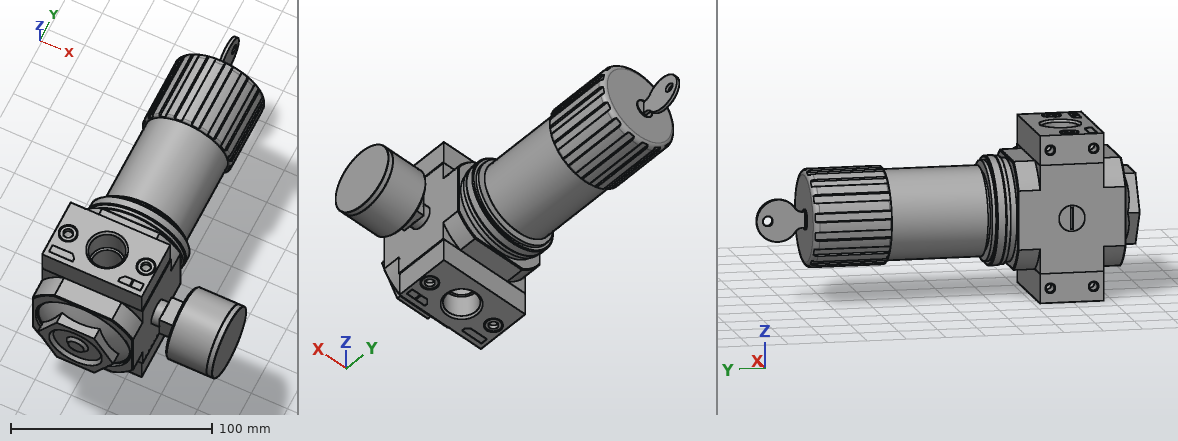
import cadquery as cq
import math


half_size = 27.5
left_face = -28.0
corner_radius = 31.75
edge_chamfer = 0.5
flow_bore = 16.0
gauge_thread = 13.16
gauge_thread_depth = 10.0

groove_diameter = 52.0
groove_top = 30.8
lip_diameter = 54.3
lip_top = 32.8
ring_diameter = 55.0
ring_top = 38.0
ring_chamfer = 0.6
nut_diameter = 50.5
nut_top = 39.8
neck_diameter = 40.0
neck_top = 41.5

cap_bottom = -36.0
dome_radius = 38.0
cap_diameter = 50.6
cap_seat_diameter = 52.4
cap_seat_depth = 1.5
hex_across_flats = 36.0
recess_rim = 29.2
recess_floor = 26.6
recess_depth = 2.2
boss_base = 12.0
boss_tip = 8.7
boss_height = 1.6

plate_width = 32.5
plate_thickness = 15.0
plate_top = half_size + plate_thickness
plate_right_face = 27.0
port_bore = 18.63
port_rim = 20.95
marking_depth = 0.2
marking_top = -9.3
marking_bottom = -13.3
marking_slope_start = -11.4
marking_bar = 0.6
marking_bar_x = 19.1
side_hole = 4.13
side_hole_rim = 5.1
side_hole_depth = 8.0
side_hole_y = 11.0
side_hole_z = 35.0

screw_x = 21.5
head_diameter = 8.5
head_height = 5.0
counterbore = 8.7
counterbore_rim = 9.6
shank_diameter = 5.8
screw_grip = 10.0
socket_diameter = 5.0
socket_depth = 2.5
drill_point_angle = 118.0

plug_length = 8.0
slot_width = 1.2
slot_length = 11.0
slot_depth = 1.0

stem_end = 32.2
square_size = 14.2
gauge_diameter = 39.0
gauge_back = 41.5
gauge_front = 67.5
bezel_back = 64.3
bezel_groove = 0.2
gauge_chamfer = 1.0

sleeve_diameter = 45.6
knob_bottom = 90.4
knob_top = 130.2
knob_diameter = 49.4
knob_top_fillet = 2.9
knob_bottom_fillet = 1.3
grip_groove_count = 16
grip_groove_floor_radius = 23.8
grip_groove_floor_width = 3.8
grip_groove_mouth_width = 4.9
lock_x = -3.3
lock_diameter = 10.0
lock_top = 130.7
key_thickness = 1.8
key_tip = 155.0
key_head_radius = 10.7
key_hole = 5.0
key_hole_y = 149.4
key_waist_half_width = 4.0
key_fillet_radius = 4.0


def disc(diameter, y_start, y_end):
    """Cylinder on the main axis."""
    plane = cq.Plane(origin=(0, y_start, 0), xDir=(1, 0, 0), normal=(0, 1, 0))
    return cq.Workplane(plane).circle(diameter / 2).extrude(y_end - y_start)


def cylinder_x(diameter, x_start, x_end):
    """Cylinder along X at the height of the ports."""
    return cq.Workplane("YZ", origin=(x_start, 0, 0)).circle(diameter / 2).extrude(x_end - x_start)


def cone(rim, tip, depth, origin, direction):
    """Cone whose rim is centred on the origin and which narrows along the direction."""
    solid = cq.Solid.makeCone(rim / 2, tip / 2, depth, cq.Vector(*origin), cq.Vector(*direction))
    return cq.Workplane(solid)


def blind_hole(diameter, depth, origin, direction):
    """Drilled hole with a conical end."""
    start = cq.Vector(*origin)
    axis = cq.Vector(*direction)
    bore = cq.Workplane(cq.Solid.makeCylinder(diameter / 2, depth, start, axis))
    point = diameter / 2 / math.tan(math.radians(drill_point_angle / 2))
    return bore.union(cone(diameter, 0, point, (start + axis * depth).toTuple(), direction))


def block(x_start, x_end, y_start, y_end, z_start, z_end):
    size = (x_end - x_start, y_end - y_start, z_end - z_start)
    return cq.Workplane().box(*size, centered=False).translate((x_start, y_start, z_start))


def make_screw(x, side):
    head_seat = plate_top - head_height
    screw = cq.Workplane(origin=(x, 0, head_seat)).circle(head_diameter / 2).extrude(head_height)
    shank_length = plate_thickness - head_height + screw_grip
    shank = cq.Workplane(origin=(x, 0, head_seat)).circle(shank_diameter / 2).extrude(-shank_length)
    screw = screw.union(shank)
    screw = screw.cut(blind_hole(socket_diameter, socket_depth, (x, 0, plate_top), (0, 0, -1)))
    return screw if side > 0 else screw.mirror("XY")


def screw_clearance(x):
    """Shank hole, counterbore and countersunk rim for one screw of the upper plate."""
    head_seat = plate_top - head_height
    hole = cq.Workplane(origin=(x, 0, half_size - screw_grip)).circle(shank_diameter / 2)
    hole = hole.extrude(screw_grip + plate_thickness)
    bore = cq.Workplane(origin=(x, 0, head_seat)).circle(counterbore / 2).extrude(head_height)
    rim_depth = (counterbore_rim - counterbore) / 2
    rim = cone(counterbore_rim, counterbore, rim_depth, (x, 0, plate_top), (0, 0, -1))
    return hole.union(bore).union(rim)


def make_cap():
    """Domed hexagonal bottom, with a dished face and a small conical boss."""
    seat = -half_size + cap_seat_depth
    dome_center = cap_bottom + dome_radius
    dome = cq.Workplane("XY").sphere(dome_radius).translate((0, dome_center, 0))
    cap = disc(cap_diameter, cap_bottom, seat).intersect(dome)
    plane = cq.Plane(origin=(0, cap_bottom, 0), xDir=(1, 0, 0), normal=(0, 1, 0))
    corner_to_corner = hex_across_flats / math.cos(math.pi / 6)
    hexagon = cq.Workplane(plane).polygon(6, corner_to_corner).extrude(seat - cap_bottom)
    cap = cap.union(hexagon)
    cap = cap.cut(cone(recess_rim, recess_floor, recess_depth, (0, cap_bottom, 0), (0, 1, 0)))
    floor = (0, cap_bottom + recess_depth, 0)
    return cap.union(cone(boss_base, boss_tip, boss_height, floor, (0, -1, 0)))


def make_housing():
    square = block(left_face, half_size, -half_size, half_size, -half_size, half_size)
    barrel = disc(2 * corner_radius, -half_size, half_size)
    body = square.intersect(barrel).faces("<Y or >Y").chamfer(edge_chamfer)
    half_plate = plate_width / 2
    body = body.union(block(left_face, half_size, -half_plate, half_plate, -half_size, half_size))
    body = body.cut(disc(cap_seat_diameter, -half_size, -half_size + cap_seat_depth))
    body = body.union(make_cap())

    body = body.union(disc(groove_diameter, half_size, groove_top))
    body = body.union(disc(lip_diameter, groove_top, lip_top))
    body = body.union(disc(ring_diameter, lip_top, ring_top).faces("<Y or >Y").chamfer(ring_chamfer))
    body = body.union(disc(nut_diameter, ring_top, nut_top))
    body = body.union(disc(neck_diameter, nut_top, neck_top))

    bore = cq.Workplane(origin=(0, 0, -half_size)).circle(flow_bore / 2).extrude(2 * half_size)
    body = body.cut(bore)
    body = body.cut(cylinder_x(gauge_thread, left_face, left_face + plug_length))
    body = body.cut(cylinder_x(gauge_thread, half_size - gauge_thread_depth, half_size))
    for x in (-screw_x, screw_x):
        hole = screw_clearance(x)
        body = body.cut(hole).cut(hole.mirror("XY"))
    return body


def make_markings():
    """Two shallow label fields beside the port."""
    floor = cq.Workplane(origin=(0, 0, plate_top - marking_depth))
    left = floor.polyline([
        (-25.6, marking_bottom), (-12.6, marking_bottom), (-12.6, marking_slope_start),
        (-14.6, marking_top), (-25.6, marking_top),
    ]).close().extrude(marking_depth)
    right = floor.polyline([
        (24.8, marking_bottom), (12.6, marking_bottom), (12.6, marking_slope_start),
        (14.6, marking_top), (24.8, marking_top),
    ]).close().extrude(marking_depth)
    bar = block(marking_bar_x - marking_bar / 2, marking_bar_x + marking_bar / 2,
                marking_bottom, marking_top, half_size, plate_top)
    return left.union(right.cut(bar))


def make_plate(side):
    half_plate = plate_width / 2
    plate = block(left_face, plate_right_face, -half_plate, half_plate, half_size, plate_top)
    port = cq.Workplane(origin=(0, 0, half_size)).circle(port_bore / 2).extrude(plate_thickness)
    plate = plate.cut(port)
    rim_depth = (port_rim - port_bore) / 2
    plate = plate.cut(cone(port_rim, port_bore, rim_depth, (0, 0, plate_top), (0, 0, -1)))
    for x in (-screw_x, screw_x):
        plate = plate.cut(screw_clearance(x))
    for y in (-side_hole_y, side_hole_y):
        mouth = (left_face, y, side_hole_z)
        plate = plate.cut(blind_hole(side_hole, side_hole_depth, mouth, (1, 0, 0)))
        rim_depth = (side_hole_rim - side_hole) / 2
        plate = plate.cut(cone(side_hole_rim, side_hole, rim_depth, mouth, (1, 0, 0)))
    plate = plate.cut(make_markings())
    return plate if side > 0 else plate.mirror("XY")


def make_plug():
    plug = cylinder_x(gauge_thread, left_face, left_face + plug_length)
    slot = block(left_face, left_face + slot_depth, -slot_width / 2, slot_width / 2,
                 -slot_length / 2, slot_length / 2)
    return plug.cut(slot)


def make_gauge():
    gauge = cylinder_x(gauge_thread, half_size - gauge_thread_depth, stem_end)
    half_square = square_size / 2
    gauge = gauge.union(block(stem_end, gauge_back, -half_square, half_square,
                              -half_square, half_square))
    case = cylinder_x(gauge_diameter, gauge_back, bezel_back).faces("<X").chamfer(gauge_chamfer)
    bezel = cylinder_x(gauge_diameter, bezel_back, gauge_front).faces("<X or >X").chamfer(bezel_groove)
    return gauge.union(case).union(bezel)


def make_key():
    """Flat key standing in the lock, with a round bow and a neck waisted by two arcs."""
    start_x = lock_x - key_thickness / 2
    center = key_tip - key_head_radius
    key = cq.Workplane("YZ", origin=(start_x, center, 0)).circle(key_head_radius).extrude(key_thickness)

    reach = key_head_radius + key_fillet_radius
    waist_z = key_waist_half_width + key_fillet_radius
    waist_y = center - math.sqrt(reach**2 - waist_z**2)
    touch_y = center + (waist_y - center) * key_head_radius / reach
    neck_half_width = waist_z * key_head_radius / reach
    neck = block(start_x, start_x + key_thickness, lock_top, touch_y, -neck_half_width, neck_half_width)
    for side in (1, -1):
        waist = cq.Workplane("YZ", origin=(start_x, waist_y, side * waist_z))
        neck = neck.cut(waist.circle(key_fillet_radius).extrude(key_thickness))
    hole = cq.Workplane("YZ", origin=(start_x, key_hole_y, 0))
    return key.union(neck).cut(hole.circle(key_hole / 2).extrude(key_thickness))


def make_knob():
    grip = disc(knob_diameter, knob_bottom, knob_top)
    grip = grip.faces(">Y").edges().fillet(knob_top_fillet)
    grip = grip.faces("<Y").edges().fillet(knob_bottom_fillet)

    mouth_radius = knob_diameter / 2
    half_floor = grip_groove_floor_width / 2
    half_mouth = grip_groove_mouth_width / 2
    wall_run = (half_mouth - half_floor) / (mouth_radius - grip_groove_floor_radius)
    outer_radius = mouth_radius + 1
    half_outer = half_mouth + wall_run
    profile_plane = cq.Plane(origin=(0, knob_bottom, 0), xDir=(1, 0, 0), normal=(0, 1, 0))
    groove = cq.Workplane(profile_plane).polyline([
        (grip_groove_floor_radius, -half_floor), (outer_radius, -half_outer),
        (outer_radius, half_outer), (grip_groove_floor_radius, half_floor),
    ]).close().extrude(knob_top - knob_bottom)
    for number in range(grip_groove_count):
        angle = (number + 0.5) * 360 / grip_groove_count
        grip = grip.cut(groove.rotate((0, 0, 0), (0, 1, 0), angle))

    knob = disc(sleeve_diameter, neck_top, knob_bottom).union(grip)
    knob = knob.union(disc(lock_diameter, knob_top, lock_top).translate((lock_x, 0, 0)))
    return knob.union(make_key())


housing = make_housing()
plug = make_plug()
gauge = make_gauge()
knob = make_knob()
plates = [make_plate(side) for side in (1, -1)]
screws = [make_screw(x, side) for x in (-screw_x, screw_x) for side in (1, -1)]

bodies = [housing, plug, gauge, knob, *plates, *screws]
result = cq.Compound.makeCompound([body.val() for body in bodies])